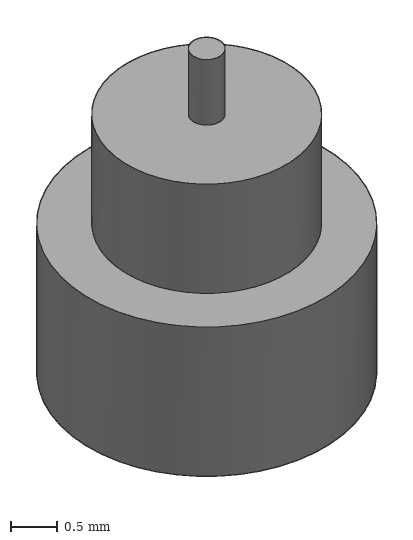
import cadquery as cq

total_height = 4.45
base_diameter = 3.7
base_height = 2.05
barrel_diameter = 2.5
barrel_height = 1.5
insulator_diameter = 1.95
pin_diameter = 0.4

barrel_top = base_height + barrel_height
pin_height = total_height - barrel_top


def cylinder(diameter, height, bottom):
    return cq.Workplane("XY").workplane(offset=bottom).circle(diameter / 2).extrude(height)


base = cylinder(base_diameter, base_height, 0)
barrel = cylinder(barrel_diameter, barrel_height, base_height)
insulator = cylinder(insulator_diameter, barrel_height, base_height)
pin = cylinder(pin_diameter, pin_height, barrel_top)

shell = base.union(barrel.cut(insulator))
result = shell.union(insulator, clean=False).union(pin, clean=False)